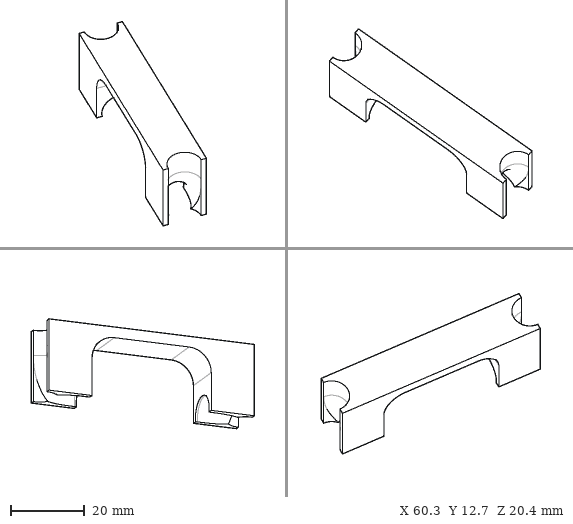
import cadquery as cq

length = 60.3
width = 12.7
height = 20.35

leg_length = 12.65
bridge_thickness = 3.1
arch_radius = 6.5

channel_radius = 4.8
bend_radius = 12.05
bend_start_depth = 7.1

half_length = length / 2
bend_start_z = height - bend_start_depth
bend_end_z = bend_start_z - bend_radius


def bridge_body():
    """Solid bar on two legs, with rounded corners under the bridge; base at Z = 0."""
    bar = cq.Workplane("XY").box(length, width, height, centered=(True, True, False))
    opening = (
        cq.Workplane("XY")
        .box(length - 2 * leg_length, width, height - bridge_thickness, centered=(True, True, False))
        .edges("|Y and >Z")
        .fillet(arch_radius)
    )
    return bar.cut(opening)


def left_channel():
    """Cutter for the left end: vertical bore plus a quarter bend out through the leg's inner face."""
    vertical_bore = (
        cq.Workplane("XY")
        .center(-half_length, 0)
        .circle(channel_radius)
        .extrude(height)
    )
    bend = (
        cq.Workplane("XY", origin=(-half_length, 0, bend_start_z))
        .circle(channel_radius)
        .revolve(90, (bend_radius, 0, 0), (bend_radius, -1, 0))
    )
    outlet = (
        cq.Workplane("YZ", origin=(-half_length + bend_radius, 0, bend_end_z))
        .circle(channel_radius)
        .extrude(leg_length - bend_radius)
    )
    return vertical_bore.union(bend).union(outlet)


channel = left_channel()
result = bridge_body().cut(channel).cut(channel.mirror("YZ"))